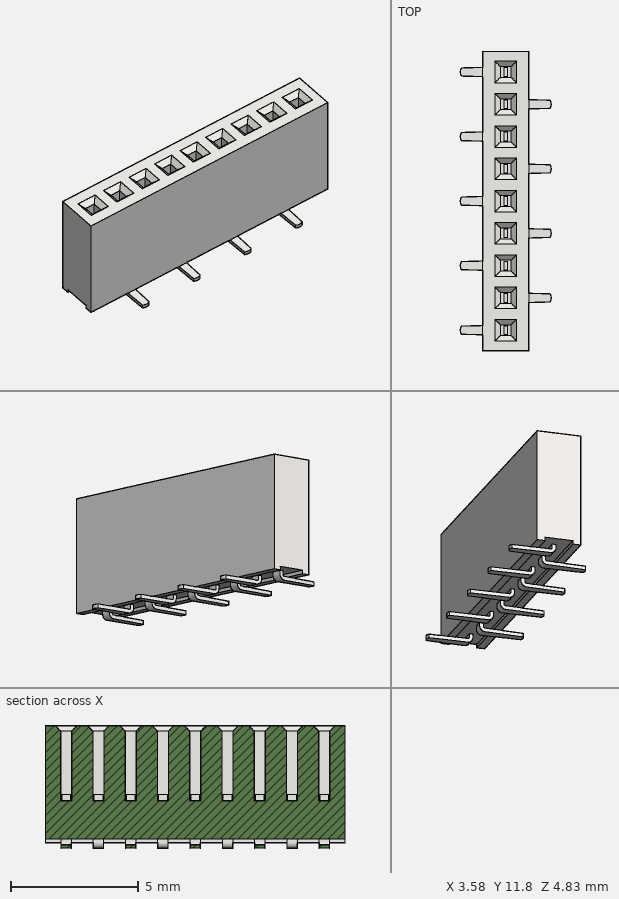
import cadquery as cq
import math

length = 11.78
overall_width = 3.58
overall_height = 4.83

housing_width = 1.81
housing_clearance = 0.22
foot_width = 0.33
foot_height = 0.14

socket_count = 9
end_margin = 0.81
funnel_opening = 0.85
funnel_depth = 0.21
bore_side = 0.42
socket_depth = 2.95

pin_width = 0.41
pin_thickness = 0.15
bend_inner_radius = 0.07
tip_width = 0.33
tip_bow = 0.05
blade_width = 0.34
blade_rise = 0.24

pitch = (length - 2 * end_margin) / (socket_count - 1)
socket_floor = overall_height - socket_depth
channel_ceiling = housing_clearance + foot_height
blade_top = socket_floor + blade_rise
stem_half = pin_thickness / 2
tail_reach = overall_width / 2
bend_outer_radius = bend_inner_radius + pin_thickness
bend_x = -stem_half - bend_inner_radius
bend_z = bend_outer_radius


def make_housing():
    """Block with a full-length channel below, leaving a foot along each side."""
    height = overall_height - housing_clearance
    block = cq.Workplane("XY").box(housing_width, length, height, centered=(True, True, False))
    channel_width = housing_width - 2 * foot_width
    channel = cq.Workplane("XY").box(channel_width, length, foot_height, centered=(True, True, False))
    return block.cut(channel).translate((0, 0, housing_clearance))


def make_socket():
    """Square bore below a tapered lead-in, centred on the Z axis."""
    bore = (
        cq.Workplane("XY")
        .workplane(offset=socket_floor)
        .rect(bore_side, bore_side)
        .extrude(socket_depth)
    )
    funnel = (
        cq.Workplane("XY")
        .workplane(offset=overall_height - funnel_depth)
        .rect(bore_side, bore_side)
        .workplane(offset=funnel_depth)
        .rect(funnel_opening, funnel_opening)
        .loft(ruled=True)
    )
    return bore.union(funnel)


def make_bend():
    """Quarter bend with the short stem that rises into the housing."""
    inner_offset = bend_inner_radius * math.sqrt(0.5)
    outer_offset = bend_outer_radius * math.sqrt(0.5)
    return (
        cq.Workplane("XZ")
        .moveTo(bend_x, 0)
        .threePointArc((bend_x + outer_offset, bend_z - outer_offset), (stem_half, bend_z))
        .lineTo(stem_half, channel_ceiling)
        .lineTo(-stem_half, channel_ceiling)
        .lineTo(-stem_half, bend_z)
        .threePointArc((bend_x + inner_offset, bend_z - inner_offset), (bend_x, pin_thickness))
        .close()
        .extrude(pin_width / 2, both=True)
    )


def make_tail():
    """Flat tail toward -X that narrows to a bowed tip."""
    tip_corner_x = tip_bow - tail_reach
    return (
        cq.Workplane("XY")
        .moveTo(bend_x, -pin_width / 2)
        .lineTo(tip_corner_x, -tip_width / 2)
        .threePointArc((-tail_reach, 0), (tip_corner_x, tip_width / 2))
        .lineTo(bend_x, pin_width / 2)
        .close()
        .extrude(pin_thickness)
    )


def make_blade():
    """Upper stem, from the housing underside to just above the socket floor."""
    blade_height = blade_top - channel_ceiling
    blade = cq.Workplane("XY").box(pin_thickness, blade_width, blade_height, centered=(True, True, False))
    return blade.translate((0, 0, channel_ceiling))


def make_pin():
    """Complete pin with its stem on the Z axis and its tail toward -X."""
    return make_bend().union(make_tail()).union(make_blade())


result = make_housing()
socket = make_socket()
left_pin = make_pin()
right_pin = left_pin.rotate((0, 0, 0), (0, 0, 1), 180)

for index in range(socket_count):
    position = (0, -length / 2 + end_margin + index * pitch, 0)
    pin = left_pin if index % 2 == 0 else right_pin
    result = result.cut(socket.translate(position)).union(pin.translate(position))